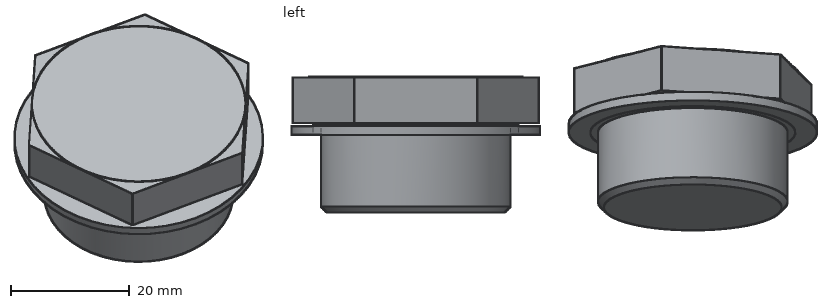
import cadquery as cq

total_height = 22.9
washer_bottom = 13.07
washer_thickness = 1.5
washer_top = washer_bottom + washer_thickness

shank_diameter = 32.0
shank_chamfer = 1.0
head_across_flats = 36.0
head_corner_diameter = 41.5
head_bottom = 15.1
collar_diameter = 34.55
collar_height = 0.3
collar_bottom = head_bottom - collar_height
crown_height = 0.13
crown_bottom = total_height - crown_height

washer_diameter = 41.9
seal_diameter = collar_diameter


def disc(diameter, bottom, top):
    """Round disc on the Z axis between two heights."""
    return cq.Workplane("XY").workplane(offset=bottom).circle(diameter / 2).extrude(top - bottom)


def ring(outer_diameter, inner_diameter, bottom, top):
    """Flat ring on the Z axis between two heights."""
    profile = cq.Workplane("XY").workplane(offset=bottom).circle(outer_diameter / 2)
    return profile.circle(inner_diameter / 2).extrude(top - bottom)


def make_hexagon():
    """Hexagonal part of the head, two corners on the Y axis, all corners turned slightly round."""
    hexagon = cq.Workplane("XY").workplane(offset=head_bottom)
    hexagon = hexagon.polygon(6, head_across_flats, circumscribed=True).extrude(crown_bottom - head_bottom)
    return hexagon.intersect(disc(head_corner_diameter, head_bottom, crown_bottom))


def make_plug():
    """Chamfered shank, bearing collar, hexagon and round crown as one solid."""
    shank = disc(shank_diameter, 0, collar_bottom).faces("<Z").chamfer(shank_chamfer)
    collar = disc(collar_diameter, collar_bottom, head_bottom)
    crown = disc(head_across_flats, crown_bottom, total_height)
    return shank.union(collar).union(make_hexagon()).union(crown)


plug = make_plug()

seal = ring(seal_diameter, shank_diameter, washer_bottom, collar_bottom)

washer = ring(washer_diameter, seal_diameter, washer_bottom, washer_top)

result = cq.Compound.makeCompound([plug.val(), seal.val(), washer.val()])